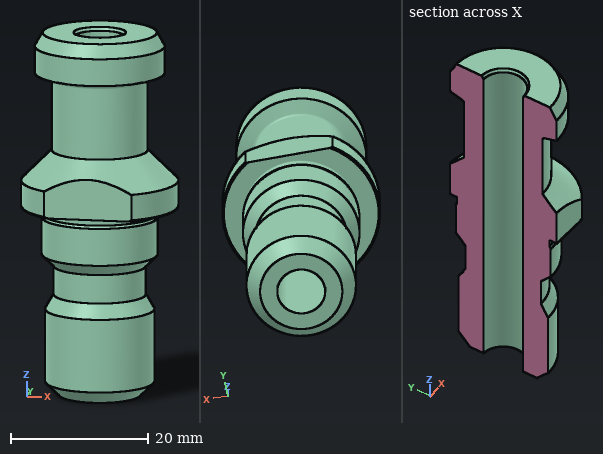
import math

import cadquery as cq

total_length = 54.0

head_diameter = 19.0
head_chamfer_height = 2.0
head_chamfer_angle = 30.0
head_edge_depth = 6.0
head_underside_slope = 15.0
head_root_fillet = 0.5

neck_diameter = 14.0
flange_diameter = 23.0
flange_bottom_depth = 26.0
flange_rim_height = 4.0
flange_edge_chamfer = 0.2
flange_across_flats = 19.0

undercut_diameter = 16.5
undercut_fillet = 0.2
collar_diameter = 17.0
collar_start_depth = 27.5
collar_end_depth = 33.0
collar_lead_angle = 30.0

relief_diameter = 13.5
shank_diameter = 16.0
shoulder_start_depth = 39.0
shoulder_angle = 30.0
shank_end_chamfer = 2.0

bore_diameter = 7.0
bore_chamfer_width = 0.3
bore_chamfer_angle = 30.0

head_radius = head_diameter / 2
neck_radius = neck_diameter / 2
flange_radius = flange_diameter / 2
undercut_radius = undercut_diameter / 2
collar_radius = collar_diameter / 2
relief_radius = relief_diameter / 2
shank_radius = shank_diameter / 2


def cone_height(radius_change, angle_from_axis):
    """Axial length of a cone that changes its radius by the given amount."""
    return radius_change / math.tan(math.radians(angle_from_axis))


def turned_body():
    """Solid of revolution of the stud, without flats and bore."""
    head_top_radius = head_radius - head_chamfer_height * math.tan(math.radians(head_chamfer_angle))
    head_rim_top = total_length - head_chamfer_height
    head_rim_bottom = total_length - head_edge_depth

    slope = math.radians(head_underside_slope)
    underside_corner = head_rim_bottom - (head_radius - neck_radius) * math.tan(slope)
    fillet_setback = head_root_fillet * math.tan((math.pi / 2 - slope) / 2)
    fillet_center_radius = neck_radius + head_root_fillet
    fillet_center_height = underside_corner - fillet_setback
    fillet_mid_angle = (math.pi / 2 + slope + math.pi) / 2
    fillet_start = (
        neck_radius + fillet_setback * math.cos(slope),
        underside_corner + fillet_setback * math.sin(slope),
    )
    fillet_middle = (
        fillet_center_radius + head_root_fillet * math.cos(fillet_mid_angle),
        fillet_center_height + head_root_fillet * math.sin(fillet_mid_angle),
    )
    fillet_end = (neck_radius, fillet_center_height)

    flange_bottom = total_length - flange_bottom_depth
    flange_rim_top = flange_bottom + flange_rim_height
    flange_cone_top = flange_rim_top + flange_radius - neck_radius

    collar_top = total_length - collar_start_depth
    undercut_bottom = collar_top + cone_height(collar_radius - undercut_radius, collar_lead_angle)
    collar_bottom = total_length - collar_end_depth
    relief_top = collar_bottom - (collar_radius - relief_radius)
    undercut_fillet_radius = undercut_radius + undercut_fillet
    undercut_fillet_height = flange_bottom - undercut_fillet
    undercut_fillet_middle = (
        undercut_fillet_radius - undercut_fillet * math.sqrt(0.5),
        undercut_fillet_height + undercut_fillet * math.sqrt(0.5),
    )

    shoulder_top = total_length - shoulder_start_depth
    shank_top = shoulder_top - cone_height(shank_radius - relief_radius, shoulder_angle)

    profile = (
        cq.Workplane("XZ")
        .moveTo(0, total_length)
        .lineTo(head_top_radius, total_length)
        .lineTo(head_radius, head_rim_top)
        .lineTo(head_radius, head_rim_bottom)
        .lineTo(*fillet_start)
        .threePointArc(fillet_middle, fillet_end)
        .lineTo(neck_radius, flange_cone_top)
        .lineTo(flange_radius, flange_rim_top)
        .lineTo(flange_radius, flange_bottom + flange_edge_chamfer)
        .lineTo(flange_radius - flange_edge_chamfer, flange_bottom)
        .lineTo(undercut_fillet_radius, flange_bottom)
        .threePointArc(undercut_fillet_middle, (undercut_radius, undercut_fillet_height))
        .lineTo(undercut_radius, undercut_bottom)
        .lineTo(collar_radius, collar_top)
        .lineTo(collar_radius, collar_bottom)
        .lineTo(relief_radius, relief_top)
        .lineTo(relief_radius, shoulder_top)
        .lineTo(shank_radius, shank_top)
        .lineTo(shank_radius, shank_end_chamfer)
        .lineTo(shank_radius - shank_end_chamfer, 0)
        .lineTo(0, 0)
        .close()
    )
    return profile.revolve(360, (0, 0, 0), (0, 1, 0))


def flats_envelope():
    """Block whose two Y faces trim the wrench flats on the flange."""
    return cq.Workplane("XY").box(
        flange_diameter, flange_across_flats, total_length, centered=(True, True, False)
    )


def bore():
    """Through hole with a chamfered mouth in the top face."""
    bore_radius = bore_diameter / 2
    chamfer_depth = cone_height(bore_chamfer_width, bore_chamfer_angle)
    profile = (
        cq.Workplane("XZ")
        .moveTo(0, 0)
        .lineTo(bore_radius, 0)
        .lineTo(bore_radius, total_length - chamfer_depth)
        .lineTo(bore_radius + bore_chamfer_width, total_length)
        .lineTo(0, total_length)
        .close()
    )
    return profile.revolve(360, (0, 0, 0), (0, 1, 0))


result = turned_body().intersect(flats_envelope()).cut(bore())